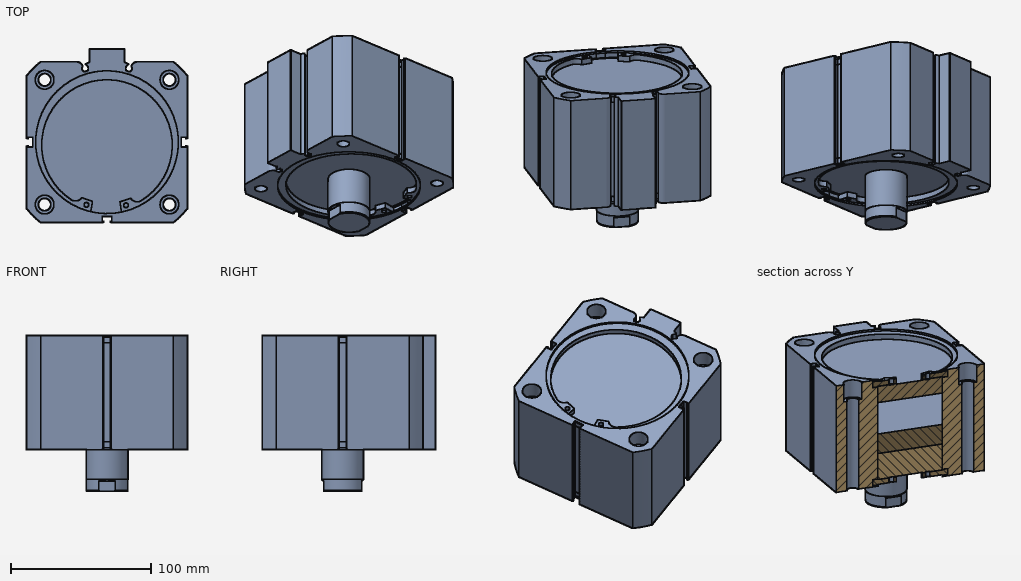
import cadquery as cq
import math


barrel_width = 115.0
barrel_height = 81.6
corner_radius = 74.5
half_width = barrel_width / 2

bore_radius = 51.0
groove_radius = 53.0
ring_thickness = 4.1
groove_inset = 1.4
ring_levels = (groove_inset, barrel_height - groove_inset - ring_thickness)

bolt_offset = 44.5
bolt_diameter = 8.7
counterbore_diameter = 13.4
counterbore_depth = 13.0

slot_floor = 53.1
slot_half_width = 3.3
mouth_half_width = 2.5
mouth_flare = 0.5
lip_depth = 1.1

rail_half_width = 12.6
rail_top = 124 - half_width
rail_edge_chamfer = 0.4
notch_circle_x = 15.6
notch_circle_y = 52.6
notch_circle_radius = 2.17
notch_shoulder_radius = 4.5
notch_shoulder_x = 21.7
rail_foot_y = 57.2
rail_barb = (15.4, 55.8)
rail_neck = (13.5, 53.7)

ring_inner_radius = 46.6
ring_inner_shift = 2.05
ring_turn = -0.75
lug_blend_start = -25.2
lug_blend_middle = (-21.0, -42.2)
lug_tip = (-17.5, -39.8)
lug_inner_corner = (-9.8, -42.4)
lug_bore_corner_x = -11.3
plier_hole_x = 14.1
plier_hole_y = -44.9
plier_hole_radius = 1.67

head_cover_thickness = 12.4
rod_cover_thickness = 19.8

rod_radius = 15.0
rod_end = -29.9
neck_radius = 14.9
neck_start = -21.2
flat_distance = 13.6
rod_chamfer_width = 0.4
rod_chamfer_height = 0.7
piston_thickness = 14.9


def disc(radius, bottom, height):
    return cq.Workplane("XY").workplane(offset=bottom).circle(radius).extrude(height)


def make_sensor_slot():
    """Undercut slot on the +X side, over the full barrel height."""
    lip_inner = half_width - lip_depth
    flare_inner = half_width - mouth_flare
    half_profile = [
        (slot_floor, slot_half_width),
        (lip_inner, slot_half_width),
        (lip_inner, mouth_half_width),
        (flare_inner, mouth_half_width),
        (half_width, mouth_half_width + mouth_flare),
    ]
    mirrored = [(x, -y) for x, y in reversed(half_profile)]
    return cq.Workplane("XY").polyline(half_profile + mirrored).close().extrude(barrel_height)


def make_rail_notch():
    """Notch along the -X flank of the rail: rounded shoulder, round bottom, barbed rail side."""
    shoulder_y = half_width - notch_shoulder_radius
    diagonal = notch_shoulder_radius * math.sqrt(0.5)
    opening = (
        cq.Workplane("XY")
        .moveTo(-notch_shoulder_x, half_width)
        .threePointArc(
            (-notch_shoulder_x + diagonal, shoulder_y + diagonal),
            (-notch_shoulder_x + notch_shoulder_radius, shoulder_y),
        )
        .lineTo(-notch_circle_x, notch_circle_y)
        .lineTo(-rail_neck[0], rail_neck[1])
        .lineTo(-rail_barb[0], rail_barb[1])
        .lineTo(-rail_half_width, rail_foot_y)
        .lineTo(-rail_half_width, half_width)
        .close()
        .extrude(barrel_height)
    )
    bottom = (
        cq.Workplane("XY")
        .center(-notch_circle_x, notch_circle_y)
        .circle(notch_circle_radius)
        .extrude(barrel_height)
    )
    return opening.union(bottom)


def make_barrel():
    body = cq.Workplane("XY").rect(barrel_width, barrel_width).extrude(barrel_height)
    body = body.intersect(disc(corner_radius, 0, barrel_height))

    rail_root = notch_circle_y
    rail = (
        cq.Workplane("XY")
        .center(0, (rail_root + rail_top) / 2)
        .rect(2 * rail_half_width, rail_top - rail_root)
        .extrude(barrel_height)
        .edges("|Z and >Y")
        .chamfer(rail_edge_chamfer)
    )
    body = body.union(rail)
    notch = make_rail_notch()
    body = body.cut(notch).cut(notch.mirror("YZ"))

    slot = make_sensor_slot()
    for angle in (0, 180, 270):
        body = body.cut(slot.rotate((0, 0, 0), (0, 0, 1), angle))

    body = (
        body.faces(">Z")
        .workplane(origin=(0, 0, barrel_height))
        .rect(2 * bolt_offset, 2 * bolt_offset, forConstruction=True)
        .vertices()
        .cboreHole(bolt_diameter, counterbore_diameter, counterbore_depth)
    )

    body = body.cut(disc(bore_radius, 0, barrel_height))
    for level in ring_levels:
        body = body.cut(disc(groove_radius, level, ring_thickness))
    return body


def make_retaining_ring(level):
    """Open ring with an eccentric inner edge and a drilled lug at each end."""
    def mirrored(point):
        return (-point[0], point[1])

    gap_reach = math.sqrt(ring_inner_radius**2 - lug_blend_start**2)
    blend_start = (lug_blend_start, -ring_inner_shift - gap_reach)
    outer_corner_y = -math.sqrt(groove_radius**2 - lug_bore_corner_x**2)
    outer_corner = (lug_bore_corner_x, outer_corner_y)
    ring = (
        cq.Workplane("XY")
        .workplane(offset=level)
        .moveTo(*outer_corner)
        .threePointArc((0, groove_radius), mirrored(outer_corner))
        .lineTo(*mirrored(lug_inner_corner))
        .lineTo(*mirrored(lug_tip))
        .threePointArc(mirrored(lug_blend_middle), mirrored(blend_start))
        .threePointArc((0, ring_inner_radius - ring_inner_shift), blend_start)
        .threePointArc(lug_blend_middle, lug_tip)
        .lineTo(*lug_inner_corner)
        .close()
        .extrude(ring_thickness)
    )
    plier_holes = (
        cq.Workplane("XY")
        .workplane(offset=level)
        .pushPoints([(-plier_hole_x, plier_hole_y), (plier_hole_x, plier_hole_y)])
        .circle(plier_hole_radius)
        .extrude(ring_thickness)
    )
    return ring.cut(plier_holes).rotate((0, 0, 0), (0, 0, 1), ring_turn)


rod_cover_bottom = ring_levels[0] + ring_thickness
rod_cover_top = rod_cover_bottom + rod_cover_thickness


def make_rod_cover():
    cover = disc(bore_radius, rod_cover_bottom, rod_cover_thickness)
    return cover.cut(disc(rod_radius, rod_cover_bottom, rod_cover_thickness))


def make_head_cover():
    return disc(bore_radius, ring_levels[1] - head_cover_thickness, head_cover_thickness)


def make_piston_rod():
    """Piston resting on the rod cover, with the rod's turned neck and two spanner flats."""
    neck_tip_radius = neck_radius - rod_chamfer_width
    piston_top = rod_cover_top + piston_thickness
    rod = (
        cq.Workplane("XZ")
        .polyline([
            (0, rod_end),
            (neck_tip_radius, rod_end),
            (neck_radius, rod_end + rod_chamfer_height),
            (neck_radius, neck_start),
            (rod_radius, neck_start),
            (rod_radius, rod_cover_top),
            (bore_radius, rod_cover_top),
            (bore_radius, piston_top),
            (0, piston_top),
        ])
        .close()
        .revolve(360, (0, 0, 0), (0, 1, 0))
    )

    flat_depth = rod_radius - flat_distance
    flat_cut = (
        cq.Workplane("YZ")
        .polyline([
            (-rod_radius, neck_start),
            (-flat_distance, neck_start - flat_depth),
            (-flat_distance, rod_end),
            (-rod_radius, rod_end),
        ])
        .close()
        .extrude(rod_radius, both=True)
    )
    return rod.cut(flat_cut).cut(flat_cut.mirror("XZ"))


barrel = make_barrel()
retaining_rings = [make_retaining_ring(level) for level in ring_levels]
rod_cover = make_rod_cover()
head_cover = make_head_cover()
piston_rod = make_piston_rod()

result = cq.Compound.makeCompound([
    barrel.val(),
    *[ring.val() for ring in retaining_rings],
    rod_cover.val(),
    head_cover.val(),
    piston_rod.val(),
])